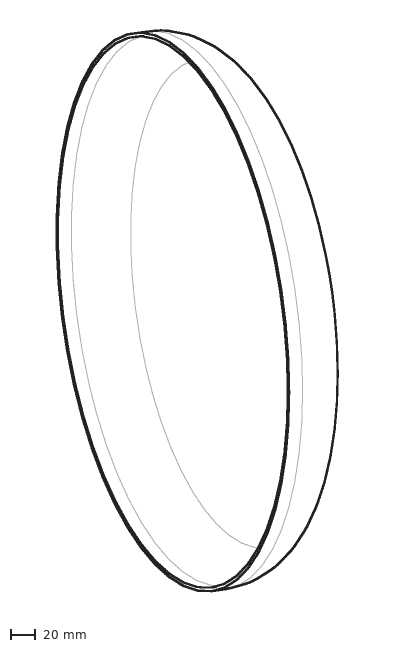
import cadquery as cq
import math

outer_diameter = 456.0
inner_diameter = 450.0
rim_length = 12.0
crown_radius = outer_diameter
knuckle_radius = outer_diameter / 10

outer_radius = outer_diameter / 2
inner_radius = inner_diameter / 2
wall = outer_radius - inner_radius

knuckle_centre = inner_radius - knuckle_radius
tangent_angle = math.asin(knuckle_centre / (crown_radius - knuckle_radius))
crown_centre = rim_length - (crown_radius - knuckle_radius) * math.cos(tangent_angle)


def crown_point(radius, angle):
    """Point on a crown arc, at an angle measured from the axis."""
    return radius * math.sin(angle), crown_centre + radius * math.cos(angle)


def knuckle_point(radius, angle):
    """Point on a knuckle arc, at an angle measured from the axis."""
    return knuckle_centre + radius * math.sin(angle), rim_length + radius * math.cos(angle)


knuckle_mid_angle = (tangent_angle + math.pi / 2) / 2
crown_mid_angle = tangent_angle / 2


def solid_dish(offset):
    """Filled dish bounded by the inside surface moved outward by the offset."""
    crown = crown_radius + offset
    knuckle = knuckle_radius + offset
    return (
        cq.Workplane("XY")
        .lineTo(inner_radius + offset, 0)
        .lineTo(inner_radius + offset, rim_length)
        .threePointArc(knuckle_point(knuckle, knuckle_mid_angle), crown_point(crown, tangent_angle))
        .threePointArc(crown_point(crown, crown_mid_angle), crown_point(crown, 0))
        .close()
        .revolve(360, (0, 0, 0), (0, 1, 0))
    )


result = solid_dish(wall).cut(solid_dish(0))